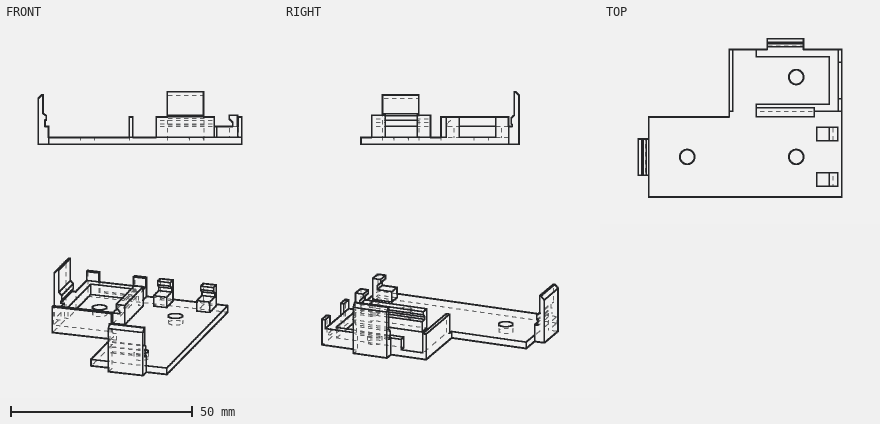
import cadquery as cq

length = 56.0
width = 43.5
height = 14.5

plate_thickness = 1.9
clip_root = 2.9
plate_back = width - clip_root
step_x = 25.05
step_y = 22.0

hole_diameter = 4.0
hole_left_x = 13.5
hole_right_x = 43.45
hole_front_y = 11.05
hole_rear_y = 33.0

ledge_z = 4.9
wall_z = 7.5
tray_left = 32.4
tray_front = 23.5
pocket_right = 52.5
pocket_front = 25.5
pocket_back = 38.6
wall_thickness = 1.0
post_length = 3.5

bar_right = 48.45
bar_overhang = 1.0
bar_tip_bottom = 6.6

hook_left = 49.1
hook_right = 54.8
hook_tip_x = 52.5
hook_neck_x = 53.5
hook_top = 8.0
hook_tip_bottom = 7.0
hook_width = 3.75
hook_front_positions = (2.95, 15.45)

clip_width = 10.0
clip_thickness = 1.4
clip_chamfer = 1.0
clip_bump = 2.25
clip_neck = 1.9
left_clip_top = 13.6
left_clip_y = 5.95
rear_clip_x = 35.45


def box(x0, x1, y0, y1, z0, z1):
    """Block between two opposite corners."""
    return cq.Workplane("XY").box(x1 - x0, y1 - y0, z1 - z0, centered=False).translate((x0, y0, z0))


def extrude_along_x(points, x0, x1):
    """Prism along X from a (y, z) outline."""
    return cq.Workplane("YZ").workplane(offset=x0).polyline(points).close().extrude(x1 - x0)


def extrude_along_y(points, y0, y1):
    """Prism along Y from an (x, z) outline."""
    return cq.Workplane("XZ").workplane(offset=-y0).polyline(points).close().extrude(y0 - y1)


def clip_profile(top, bump_heights):
    """Outline of a clip as (distance from the outer face, z).

    The bump heights run downwards: slope start, crest top, crest bottom, groove top.
    """
    slope_start, crest_top, crest_bottom, groove_top = bump_heights
    return [
        (0, 0),
        (0, top - clip_chamfer),
        (clip_chamfer, top),
        (clip_thickness, top),
        (clip_thickness, slope_start),
        (clip_bump, crest_top),
        (clip_bump, crest_bottom),
        (clip_neck, groove_top),
        (clip_neck, ledge_z),
        (clip_root, ledge_z),
        (clip_root, 0),
    ]


def base_plate():
    outline = [
        (clip_root, 0),
        (length, 0),
        (length, plate_back),
        (step_x, plate_back),
        (step_x, step_y),
        (clip_root, step_y),
    ]
    return cq.Workplane("XY").polyline(outline).close().extrude(plate_thickness)


def tray():
    frame = box(tray_left, length - wall_thickness, tray_front, plate_back, 0, ledge_z)
    pocket = box(tray_left, pocket_right, pocket_front, pocket_back, plate_thickness, ledge_z)
    side_wall = box(step_x, step_x + wall_thickness, tray_front, plate_back, 0, wall_z)
    body = frame.cut(pocket).union(side_wall)
    for post_front in (tray_front, plate_back - post_length):
        body = body.union(
            box(length - wall_thickness, length, post_front, post_front + post_length, 0, wall_z)
        )
    return body


def hooked_bar():
    tip_y = tray_front + bar_overhang
    profile = [
        (step_y, 0),
        (step_y, wall_z),
        (tip_y, wall_z),
        (tip_y, bar_tip_bottom),
        (tray_front, bar_tip_bottom - bar_overhang),
        (tray_front, 0),
    ]
    return extrude_along_x(profile, tray_left, bar_right)


def hook(front_y):
    profile = [
        (hook_left, 0),
        (hook_left, ledge_z),
        (hook_neck_x, ledge_z),
        (hook_neck_x, hook_tip_bottom - (hook_neck_x - hook_tip_x)),
        (hook_tip_x, hook_tip_bottom),
        (hook_tip_x, hook_top),
        (hook_right, hook_top),
        (hook_right, 0),
    ]
    return extrude_along_y(profile, front_y, front_y + hook_width)


def left_clip():
    profile = clip_profile(left_clip_top, (8.45, 7.9, 6.6, 6.6))
    return extrude_along_y(profile, left_clip_y, left_clip_y + clip_width)


def rear_clip():
    profile = clip_profile(height, (8.0, 7.15, 5.7, 5.4))
    points = [(width - depth, z) for depth, z in profile]
    return extrude_along_x(points, rear_clip_x, rear_clip_x + clip_width)


def screw_holes():
    centres = [
        (hole_left_x, hole_front_y),
        (hole_right_x, hole_front_y),
        (hole_right_x, hole_rear_y),
    ]
    return cq.Workplane("XY").pushPoints(centres).circle(hole_diameter / 2).extrude(plate_thickness)


result = base_plate().union(tray()).union(hooked_bar()).union(left_clip()).union(rear_clip())
for hook_front in hook_front_positions:
    result = result.union(hook(hook_front))
result = result.cut(screw_holes())